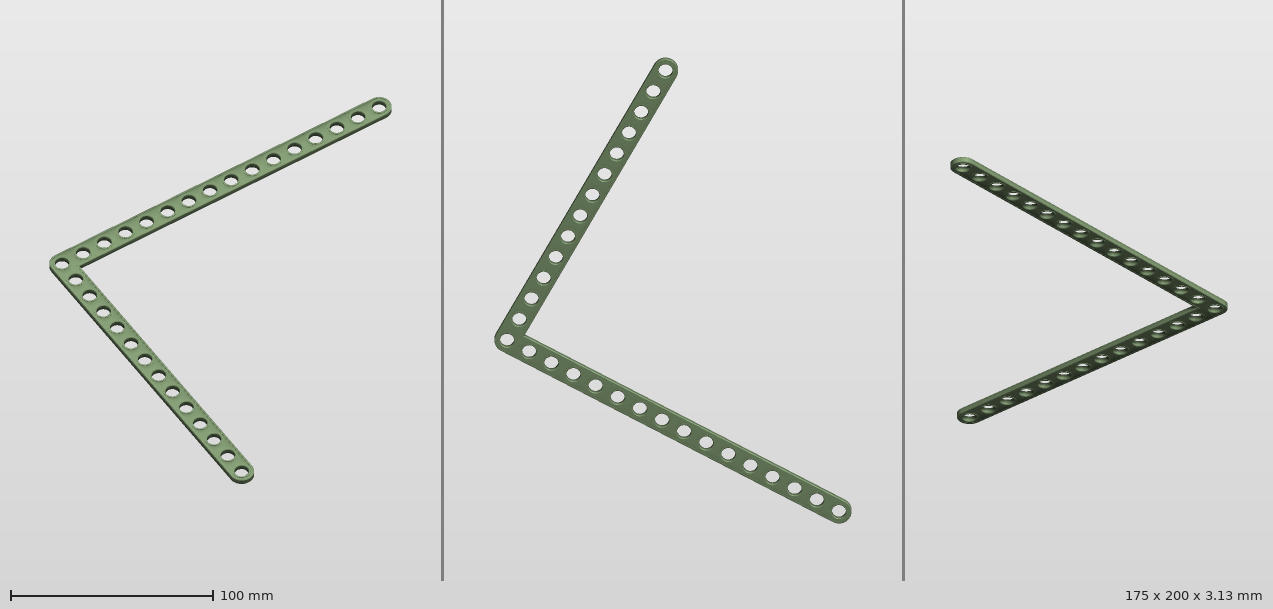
import cadquery as cq

long_side = 200.0
holes_along_x = 14
holes_along_y = 16
hole_diameter = 7.0
boss_diameter = 9.2
recess_depth = 0.2
edge_chamfer = 0.3

pitch = long_side / holes_along_y
thickness = pitch / 4
rim_width = (boss_diameter - hole_diameter) / 2
x_span = (holes_along_x - 1) * pitch
y_span = (holes_along_y - 1) * pitch
hole_centres = [(i * pitch, 0) for i in range(holes_along_x)]
hole_centres += [(0, j * pitch) for j in range(1, holes_along_y)]


def angle_slab(width, height):
    """L-shaped slab with rounded arm ends and a rounded outer corner.

    The origin is the centre of the corner hole, on the bottom face.
    """
    x_arm = cq.Workplane("XY").center(x_span / 2, 0).slot2D(x_span + width, width)
    y_arm = cq.Workplane("XY").center(0, y_span / 2).slot2D(y_span + width, width, 90)
    return x_arm.extrude(height).union(y_arm.extrude(height)).clean()


def at_every_hole(shape):
    """Copies of a shape, one at each hole centre."""
    return cq.Workplane("XY").pushPoints(hole_centres).eachpoint(lambda place: shape.val().moved(place))


def floor_recess():
    """Sunken area inside the border, leaving the rings around the holes."""
    ring = cq.Workplane("XY").circle(boss_diameter / 2).extrude(recess_depth)
    return angle_slab(pitch - 2 * rim_width, recess_depth).cut(at_every_hole(ring))


def hole_cutter():
    """Through hole with a bevelled mouth at each face, revolved about Z."""
    hole_radius = hole_diameter / 2
    mouth_radius = hole_radius + edge_chamfer
    section = [
        (0, 0),
        (mouth_radius, 0),
        (hole_radius, edge_chamfer),
        (hole_radius, thickness - edge_chamfer),
        (mouth_radius, thickness),
        (0, thickness),
    ]
    return cq.Workplane("XZ").polyline(section).close().revolve(360, (0, 0), (0, 1))


bottom_recess = floor_recess()
top_recess = bottom_recess.translate((0, 0, thickness - recess_depth))

result = (
    angle_slab(pitch, thickness)
    .faces("<Z or >Z")
    .chamfer(edge_chamfer)
    .cut(bottom_recess)
    .cut(top_recess)
    .cut(at_every_hole(hole_cutter()))
)